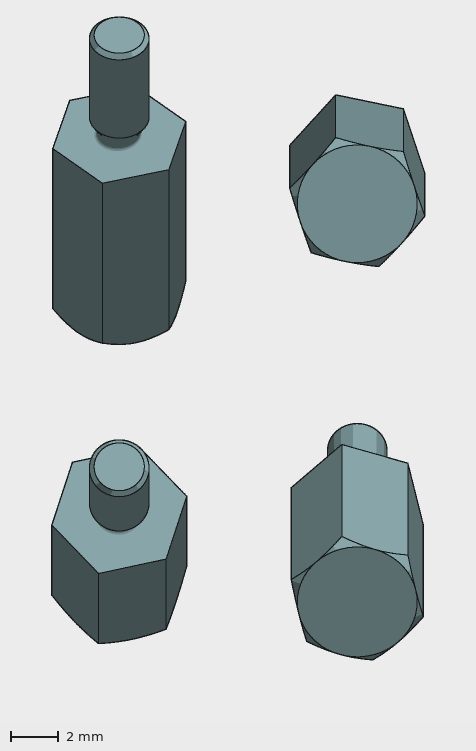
import cadquery as cq
import math

total_height = 16.0
body_height = 10.0
across_corners = 5.78
across_flats = across_corners * math.cos(math.radians(30))
foot_diameter = across_flats
foot_chamfer_angle = 45.0

stud_diameter = 2.5
stud_tip_diameter = 2.1

neck_diameter = 1.8
neck_fillet = 0.2
undercut_height = 1.1
undercut_half_angle = 30.0

stud_radius = stud_diameter / 2
tip_radius = stud_tip_diameter / 2
tip_chamfer = stud_radius - tip_radius
neck_radius = neck_diameter / 2


def hex_body():
    """Hexagonal prism with its lower corners turned off by a cone."""
    prism = cq.Workplane("XY").polygon(6, across_corners).extrude(body_height)
    corner_radius = across_corners / 2
    foot_radius = foot_diameter / 2
    chamfer_height = (corner_radius - foot_radius) * math.tan(math.radians(foot_chamfer_angle))
    turned_envelope = (
        cq.Workplane("XZ")
        .lineTo(foot_radius, 0)
        .lineTo(corner_radius, chamfer_height)
        .lineTo(corner_radius, body_height)
        .lineTo(0, body_height)
        .close()
        .revolve(360, (0, 0), (0, 1))
    )
    return prism.intersect(turned_envelope)


def stud():
    """Revolved stud with a filleted undercut neck and a chamfered tip."""
    flank_angle = math.radians(undercut_half_angle)
    stud_start = body_height + undercut_height

    flank_foot_radius = neck_radius + neck_fillet * (1 - math.cos(flank_angle))
    flank_foot_z = stud_start - (stud_radius - flank_foot_radius) / math.tan(flank_angle)
    neck_top_z = flank_foot_z - neck_fillet * math.sin(flank_angle)
    neck_bottom_z = body_height + neck_fillet

    return (
        cq.Workplane("XZ")
        .moveTo(0, body_height)
        .lineTo(neck_radius + neck_fillet, body_height)
        .radiusArc((neck_radius, neck_bottom_z), neck_fillet)
        .lineTo(neck_radius, neck_top_z)
        .radiusArc((flank_foot_radius, flank_foot_z), neck_fillet)
        .lineTo(stud_radius, stud_start)
        .lineTo(stud_radius, total_height - tip_chamfer)
        .lineTo(tip_radius, total_height)
        .lineTo(0, total_height)
        .close()
        .revolve(360, (0, 0), (0, 1))
    )


result = hex_body().union(stud())